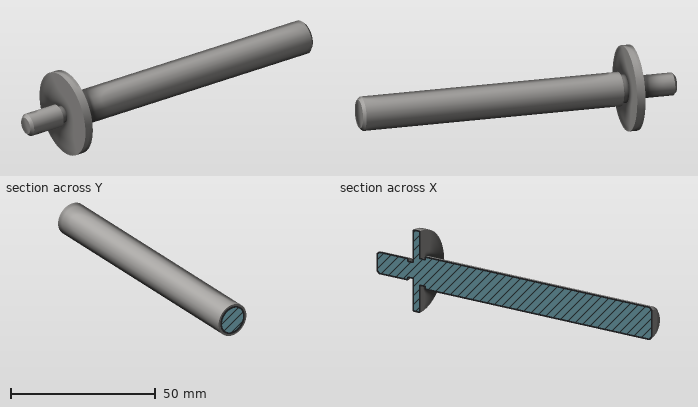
import cadquery as cq

flange_diameter = 30.0
flange_thickness = 3.0

stud_diameter = 8.0
stud_length = 13.0
stud_relief_diameter = 6.0

rod_diameter = 12.0
rod_length = 94.0
rod_relief_diameter = 10.0

relief_width = 2.0
end_chamfer = 1.0


def cylinder(diameter, start, length):
    """Cylinder on the Y axis running from y = start towards +Y."""
    axis_plane = cq.Workplane("XZ", origin=(0, start, 0))
    return axis_plane.circle(diameter / 2).extrude(-length)


stud_start = -(relief_width + stud_length)
rod_relief_start = flange_thickness
rod_start = rod_relief_start + relief_width

stud = cylinder(stud_diameter, stud_start, stud_length).faces("<Y").chamfer(end_chamfer)

rod = cylinder(rod_diameter, rod_start, rod_length).faces(">Y").chamfer(end_chamfer)

stud_relief = cylinder(stud_relief_diameter, -relief_width, relief_width)
flange = cylinder(flange_diameter, 0, flange_thickness)
rod_relief = cylinder(rod_relief_diameter, rod_relief_start, relief_width)

result = stud.union(stud_relief).union(flange).union(rod_relief).union(rod)